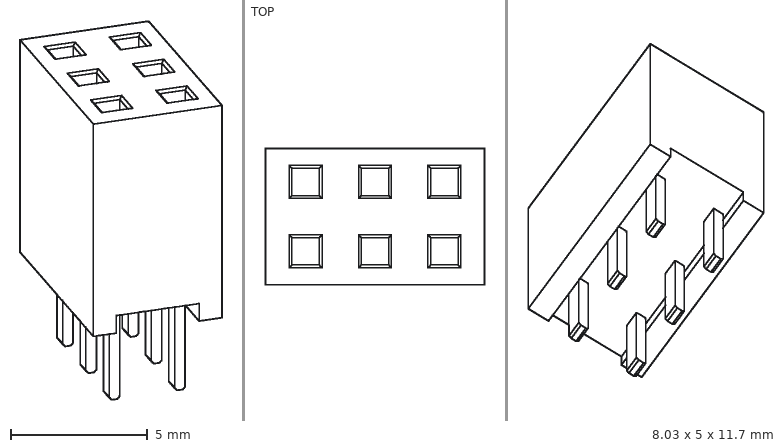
import cadquery as cq

body_length = 8.03
body_width = 5.0
total_height = 11.7
body_height = 8.51

columns = 3
rows = 2
pitch = 2.54

channel_width = 3.2
channel_depth = 0.7

socket_size = 1.0
mouth_size = 1.2
lead_in = (mouth_size - socket_size) / 2
socket_depth = 5.85

pin_width = 0.64
pin_thickness = 0.41
tip_bevel = 0.1

body_bottom = total_height - body_height
channel_roof = body_bottom + channel_depth

contact_positions = [
    ((column - (columns - 1) / 2) * pitch, (row - (rows - 1) / 2) * pitch)
    for column in range(columns)
    for row in range(rows)
]


def make_body():
    """Rectangular housing with a channel along the underside."""
    block = cq.Workplane("XY").box(body_length, body_width, body_height, centered=(True, True, False))
    channel = cq.Workplane("XY").box(body_length, channel_width, channel_depth, centered=(True, True, False))
    return block.cut(channel).translate((0, 0, body_bottom))


def make_socket():
    """Blind square cavity, flared at its mouth; the mouth is at the top of the body."""
    cavity = (
        cq.Workplane("XY")
        .workplane(offset=total_height)
        .rect(socket_size, socket_size)
        .extrude(-socket_depth)
    )
    flare = (
        cq.Workplane("XY")
        .workplane(offset=total_height - lead_in)
        .rect(socket_size, socket_size)
        .workplane(offset=lead_in)
        .rect(mouth_size, mouth_size)
        .loft(ruled=True)
    )
    return cavity.union(flare)


def make_pin():
    """Flat pin reaching up to the roof of the channel."""
    half_thickness = pin_thickness / 2
    half_tip = half_thickness - tip_bevel
    profile = [
        (-half_tip, 0),
        (half_tip, 0),
        (half_thickness, tip_bevel),
        (half_thickness, channel_roof),
        (-half_thickness, channel_roof),
        (-half_thickness, tip_bevel),
    ]
    return cq.Workplane("YZ").polyline(profile).close().extrude(pin_width / 2, both=True)


result = make_body()
socket = make_socket()
pin = make_pin()
for x, y in contact_positions:
    result = result.cut(socket.translate((x, y, 0)))
    result = result.union(pin.translate((x, y, 0)))